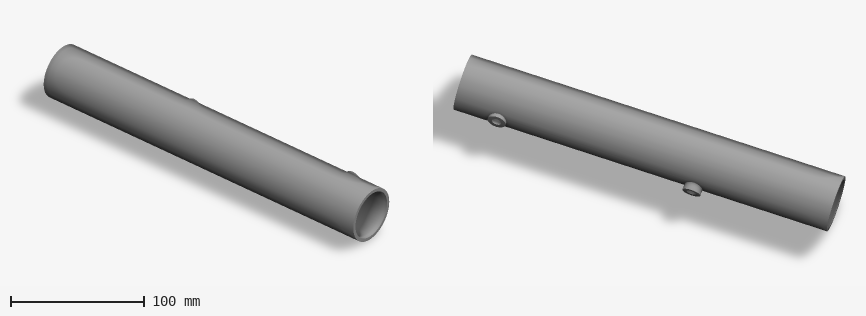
import cadquery as cq

length = 295.0
outer_diameter = 43.5
wall = 2.7
outer_radius = outer_diameter / 2
inner_radius = outer_radius - wall

port_diameter = 14.2
port_bore = 7.5
tall_port_x = 105.3
tall_port_reach = 26.5
tall_port_angle = -1.5
short_port_x = 260.5
short_port_reach = 23.5
short_port_angle = 13.0


def radial_cylinder(x, diameter, reach, angle):
    """Cylinder from the tube axis outward, raised by angle from +Y toward +Z."""
    start = cq.Workplane("XZ", origin=(x, 0, 0))
    cylinder = start.circle(diameter / 2).extrude(-reach)
    return cylinder.rotate((0, 0, 0), (1, 0, 0), angle)


ports = (
    (tall_port_x, tall_port_reach, tall_port_angle),
    (short_port_x, short_port_reach, short_port_angle),
)

result = cq.Workplane("YZ").circle(outer_radius).extrude(length)
for x, reach, angle in ports:
    result = result.union(radial_cylinder(x, port_diameter, reach, angle))

result = result.cut(cq.Workplane("YZ").circle(inner_radius).extrude(length))
for x, reach, angle in ports:
    result = result.cut(radial_cylinder(x, port_bore, reach, angle))